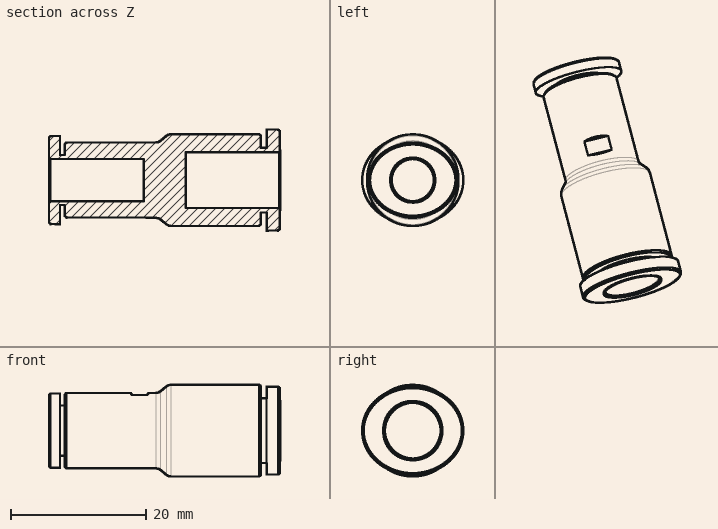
import cadquery as cq
import math

SMALL_RADIUS = 5.6
LARGE_RADIUS = 6.8
BODY_START = 2.3
BODY_END = 31.35
SHOULDER_START = 16.22
SHOULDER_ANGLE = 40.0
SHOULDER_FILLET = 1.0
SMALL_END_CHAMFER = 0.3
LARGE_END_CHAMFER = 0.25

FLANGE_CHAMFER = 0.25
OVERALL_LENGTH = 34.25
SMALL_NECK_RADIUS = 3.75
SMALL_FLANGE_THICKNESS = 1.65
SMALL_FLANGE_WIDTH = 13.1
SMALL_FLANGE_HEIGHT = 11.0
LARGE_NECK_RADIUS = 4.8
LARGE_FLANGE_THICKNESS = 1.95
LARGE_FLANGE_WIDTH = 15.0
LARGE_FLANGE_HEIGHT = 13.05
LIP_RADIUS = 4.4
LIP_HEIGHT = 0.1

SMALL_SOCKET_RADIUS = 3.1
LARGE_SOCKET_RADIUS = 4.1
SOCKET_DEPTH = 14.0
SOCKET_CHAMFER = 0.25

FLAT_CENTER = 13.4
FLAT_LENGTH = 2.2
FLAT_DEPTH = 0.3
FLAT_WALL_RUN = 0.25


def make_barrel(start, end, radius):
    """Solid cylinder along X."""
    return cq.Workplane("YZ", origin=(start, 0, 0)).circle(radius).extrude(end - start)


def make_body():
    """Small and large barrels joined by a conical shoulder with rounded corners."""
    shoulder_run = (LARGE_RADIUS - SMALL_RADIUS) / math.tan(math.radians(SHOULDER_ANGLE))
    shoulder_end = SHOULDER_START + shoulder_run
    body = (
        cq.Workplane("XY")
        .moveTo(BODY_START, 0)
        .lineTo(BODY_START, SMALL_RADIUS)
        .lineTo(SHOULDER_START, SMALL_RADIUS)
        .lineTo(shoulder_end, LARGE_RADIUS)
        .lineTo(BODY_END, LARGE_RADIUS)
        .lineTo(BODY_END, 0)
        .close()
        .revolve(360, (0, 0, 0), (1, 0, 0))
    )
    body = body.faces("<X").edges().chamfer(SMALL_END_CHAMFER)
    body = body.faces(">X").edges().chamfer(LARGE_END_CHAMFER)
    corners = body.edges(
        cq.selectors.BoxSelector(
            (SHOULDER_START - SHOULDER_FILLET, -LARGE_RADIUS, -LARGE_RADIUS),
            (shoulder_end + SHOULDER_FILLET, LARGE_RADIUS, LARGE_RADIUS),
        )
    ).edges("%CIRCLE")
    return corners.fillet(SHOULDER_FILLET)


def make_flange(start, thickness, width, height, outer_face):
    """Elliptical plate, chamfered around its outer face."""
    return (
        cq.Workplane("YZ", origin=(start, 0, 0))
        .ellipse(width / 2, height / 2)
        .extrude(thickness)
        .faces(outer_face)
        .edges()
        .chamfer(FLANGE_CHAMFER)
    )


def make_socket(radius):
    """Cutter for a blind socket with a chamfered mouth, entering at X = 0."""
    mouth_radius = radius + SOCKET_CHAMFER
    return (
        cq.Workplane("XY")
        .lineTo(0, mouth_radius)
        .lineTo(SOCKET_CHAMFER, radius)
        .lineTo(SOCKET_DEPTH, radius)
        .lineTo(SOCKET_DEPTH, 0)
        .close()
        .revolve(360, (0, 0, 0), (1, 0, 0))
    )


def make_flat_cutter():
    """Trapezoidal bar whose underside is the flat."""
    half_floor = FLAT_LENGTH / 2
    half_mouth = half_floor + FLAT_WALL_RUN
    floor_z = SMALL_RADIUS - FLAT_DEPTH
    return (
        cq.Workplane("XZ", origin=(FLAT_CENTER, 0, 0))
        .moveTo(-half_floor, floor_z)
        .lineTo(half_floor, floor_z)
        .lineTo(half_mouth, SMALL_RADIUS)
        .lineTo(-half_mouth, SMALL_RADIUS)
        .close()
        .extrude(SMALL_RADIUS, both=True)
    )


large_flange_end = OVERALL_LENGTH - LIP_HEIGHT
large_flange_start = large_flange_end - LARGE_FLANGE_THICKNESS
small_flange = make_flange(
    0, SMALL_FLANGE_THICKNESS, SMALL_FLANGE_WIDTH, SMALL_FLANGE_HEIGHT, "<X"
)
large_flange = make_flange(
    large_flange_start, LARGE_FLANGE_THICKNESS, LARGE_FLANGE_WIDTH, LARGE_FLANGE_HEIGHT, ">X"
)
small_neck = make_barrel(SMALL_FLANGE_THICKNESS, BODY_START, SMALL_NECK_RADIUS)
large_neck = make_barrel(BODY_END, large_flange_start, LARGE_NECK_RADIUS)
lip = make_barrel(large_flange_end, OVERALL_LENGTH, LIP_RADIUS)

small_socket = make_socket(SMALL_SOCKET_RADIUS)
large_socket = make_socket(LARGE_SOCKET_RADIUS).mirror("YZ").translate((OVERALL_LENGTH, 0, 0))

result = (
    make_body()
    .union(small_neck)
    .union(large_neck)
    .union(small_flange)
    .union(large_flange)
    .union(lip)
    .cut(small_socket)
    .cut(large_socket)
    .cut(make_flat_cutter())
)